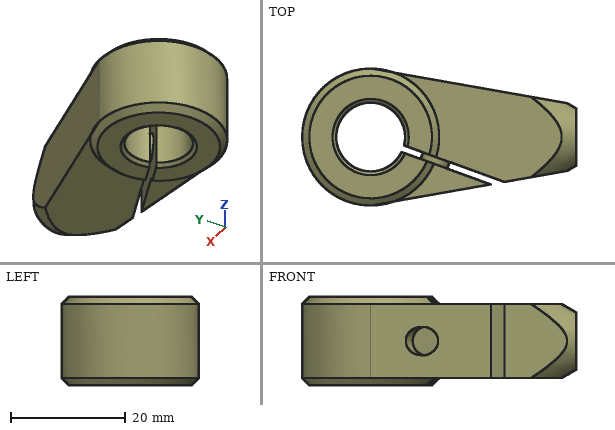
import cadquery as cq
import math

hub_radius = 12.0
hub_height = 15.5
bore_radius = 6.0
bore_chamfer = 0.65

arm_thickness = 12.95
arm_end_x = 36.0
arm_taper_angle = 10.0
tip_radius = 5.0
tip_cone_angle = 30.0

slot_angle = -20.0
slot_width = 1.2

screw_diameter = 5.0
screw_distance = 12.0
screw_end_offset = 4.6

hub_chamfer = (hub_height - arm_thickness) / 2
arm_end_half_width = hub_radius - arm_end_x * math.tan(math.radians(arm_taper_angle))


def make_arm():
    """Arm plate with a half-round rear end and a conical tip."""
    plate = (
        cq.Workplane("XY")
        .moveTo(0, hub_radius)
        .lineTo(arm_end_x, arm_end_half_width)
        .lineTo(arm_end_x, -arm_end_half_width)
        .lineTo(0, -hub_radius)
        .threePointArc((-hub_radius, 0), (0, hub_radius))
        .close()
        .extrude(arm_thickness / 2, both=True)
    )
    cone_start_x = -hub_radius
    cone_length = arm_end_x - cone_start_x
    cone_start_radius = tip_radius + cone_length * math.tan(math.radians(tip_cone_angle))
    tip_cone = (
        cq.Workplane("XZ")
        .moveTo(cone_start_x, 0)
        .lineTo(cone_start_x, cone_start_radius)
        .lineTo(arm_end_x, tip_radius)
        .lineTo(arm_end_x, 0)
        .close()
        .revolve(360, (0, 0, 0), (1, 0, 0))
    )
    return plate.intersect(tip_cone)


def make_hub_face():
    """Chamfered disc that stands proud of the upper side of the arm."""
    return (
        cq.Workplane("XY")
        .workplane(offset=arm_thickness / 2)
        .circle(hub_radius)
        .workplane(offset=hub_chamfer)
        .circle(hub_radius - hub_chamfer)
        .loft(ruled=True)
    )


def make_bore():
    """Through bore, chamfered at both ends."""
    half_height = hub_height / 2
    return (
        cq.Workplane("XZ")
        .moveTo(0, -half_height)
        .lineTo(bore_radius + bore_chamfer, -half_height)
        .lineTo(bore_radius, -half_height + bore_chamfer)
        .lineTo(bore_radius, half_height - bore_chamfer)
        .lineTo(bore_radius + bore_chamfer, half_height)
        .lineTo(0, half_height)
        .close()
        .revolve(360, (0, 0, 0), (0, 1, 0))
    )


def make_slot():
    """Slot from the hub axis out through the side of the arm."""
    return (
        cq.Workplane("XY")
        .box(arm_end_x, slot_width, hub_height, centered=(False, True, True))
        .rotate((0, 0, 0), (0, 0, 1), slot_angle)
    )


def make_screw_cylinder(start, end):
    """Cylinder on the screw axis between two distances on the -Y side of the slot."""
    return (
        cq.Workplane("XZ")
        .workplane(offset=start)
        .center(screw_distance, 0)
        .circle(screw_diameter / 2)
        .extrude(end - start)
        .rotate((0, 0, 0), (0, 0, 1), slot_angle)
    )


hub_face = make_hub_face()
body = make_arm().union(hub_face).union(hub_face.mirror("XY"))
body = body.cut(make_bore()).cut(make_slot())

screw = make_screw_cylinder(-slot_width / 2, screw_end_offset)
screw_recess = make_screw_cylinder(screw_end_offset, hub_radius)
result = body.union(screw).cut(screw_recess)